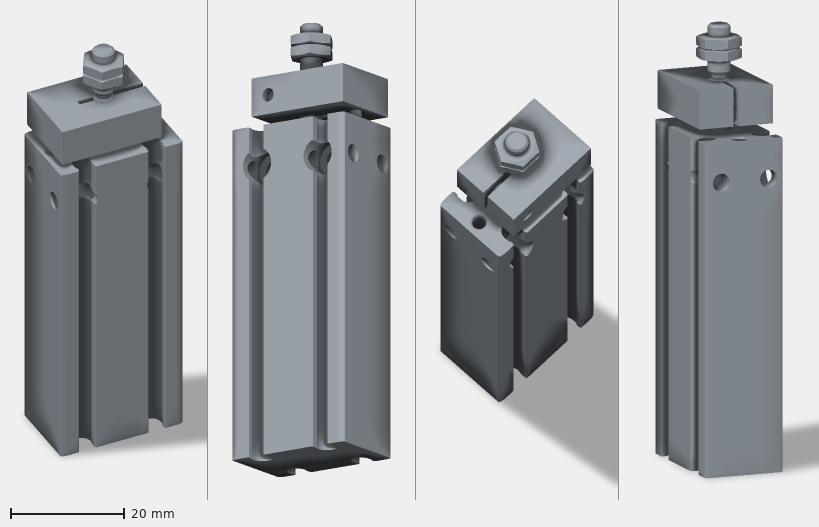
import cadquery as cq
import math


HOUSING_X = 15.0
HOUSING_Y = 24.0
HOUSING_Z = 60.05
CORNER_ARC_LENGTH = 1.2
CORNER_ARC_RADIUS = 3.0
CORNER_CHAMFER = 0.15

SLOT_Y = 6.9
SLOT_DIAMETER = 3.5
SLOT_CENTER_DEPTH = 2.2
SLOT_INNER_EDGE = 1.6
SLOT_LIP_EDGE = 1.5
SLOT_LIP_DEPTH = 1.0
SLOT_MOUTH_CHAMFER = 0.2

MOUNT_HOLE_DIAMETER = 3.2
MOUNT_HOLE_Z = HOUSING_Z - 7.0
MOUNT_HOLE_X = 4.5
MOUNT_HOLE_Y = 6.5
COUNTERBORE_DIAMETER = 6.0
COUNTERBORE_DEPTH = 5.1

GUIDE_Y = 9.55
GUIDE_PIN_DIAMETER = 2.0
GUIDE_DEPTH = 10.0
GUIDE_SEAT_DIAMETER = 3.6
GUIDE_SEAT_FLOOR_DIAMETER = 3.0
SMALL_HOLE_DIAMETER = 2.45
SMALL_HOLE_MOUTH_DIAMETER = 3.0

PLATE_X = 14.0
PLATE_BACK = 8.0
PLATE_FRONT = -11.5
PLATE_THICKNESS = 6.95
PLATE_BOTTOM = HOUSING_Z + 2.0
PLATE_TOP = PLATE_BOTTOM + PLATE_THICKNESS
PLATE_SLOT_WIDTH = 1.0
PLATE_SLOT_END = -4.9

SCREW_DIAMETER = 3.0
SCREW_HOLE_DIAMETER = 2.45
SCREW_TIP_DEPTH = 2.0
SCREW_Y = 4.5
SCREW_Z = PLATE_BOTTOM + PLATE_THICKNESS / 2

ROD_TOP = 79.0
ROD_DIAMETER = 4.0
ROD_DEPTH = 20.0
ROD_BOTTOM = HOUSING_Z - ROD_DEPTH
SHOULDER_DIAMETER = 3.4
SHOULDER_RISE = 0.2
NECK_DIAMETER = 2.7
STUD_BOTTOM = 69.9
STUD_CHAMFER_HEIGHT = 0.4
STUD_TAPER_HEIGHT = (ROD_DIAMETER - NECK_DIAMETER) / 2
STUD_TOP_DIAMETER = 3.2

NUT_COUNT = 2
NUT_WIDTH = 7.0
NUT_THICKNESS = 2.1
NUT_FACE_DIAMETER = 6.0
NUT_BEVEL_HEIGHT = 0.3
NUT_STACK_BOTTOM = 72.7


def cylinder_z(diameter, bottom, top, y=0.0):
    return cq.Workplane("XY", origin=(0, y, bottom)).circle(diameter / 2).extrude(top - bottom)


def cylinder_x(diameter, start, end, y, z):
    return cq.Workplane("YZ", origin=(start, y, z)).circle(diameter / 2).extrude(end - start)


def housing_blank():
    """Bar whose X faces curve in slightly towards chamfered corners."""
    side = HOUSING_X / 2
    end = HOUSING_Y / 2
    flat_end = end - CORNER_ARC_LENGTH - CORNER_CHAMFER
    mid_run = CORNER_ARC_LENGTH / 2

    def arc_x(run):
        return side - CORNER_ARC_RADIUS + math.sqrt(CORNER_ARC_RADIUS ** 2 - run ** 2)

    arc_end_x = arc_x(CORNER_ARC_LENGTH)
    quarter = (
        cq.Workplane("XY")
        .lineTo(side, 0)
        .lineTo(side, flat_end)
        .threePointArc((arc_x(mid_run), flat_end + mid_run), (arc_end_x, end - CORNER_CHAMFER))
        .lineTo(arc_end_x - CORNER_CHAMFER, end)
        .lineTo(0, end)
        .close()
        .extrude(HOUSING_Z)
    )
    half = quarter.union(quarter.mirror("XZ"))
    return half.union(half.mirror("YZ")).clean()


def sensor_slot():
    """Cutter for the slot on the -X, +Y side: chamfered mouth, one overhanging lip, round channel."""
    face = -HOUSING_X / 2
    chamfer_end = face + SLOT_MOUTH_CHAMFER
    lip_end = face + SLOT_LIP_DEPTH
    center = face + SLOT_CENTER_DEPTH
    mouth = (
        cq.Workplane("XY", origin=(0, SLOT_Y, 0))
        .moveTo(face, SLOT_LIP_EDGE + SLOT_MOUTH_CHAMFER)
        .lineTo(chamfer_end, SLOT_LIP_EDGE)
        .lineTo(lip_end, SLOT_LIP_EDGE)
        .lineTo(lip_end, SLOT_DIAMETER / 2)
        .lineTo(center, SLOT_DIAMETER / 2)
        .lineTo(center, -SLOT_INNER_EDGE)
        .lineTo(chamfer_end, -SLOT_INNER_EDGE)
        .lineTo(face, -SLOT_INNER_EDGE - SLOT_MOUTH_CHAMFER)
        .close()
        .extrude(HOUSING_Z)
    )
    channel = cylinder_z(SLOT_DIAMETER, 0, HOUSING_Z).translate((center, SLOT_Y, 0))
    return mouth.union(channel)


def top_countersink(y, mouth_diameter, floor_diameter):
    """Cutter for a 45 degree conical recess in the housing top."""
    mouth_radius = mouth_diameter / 2
    floor_radius = floor_diameter / 2
    depth = mouth_radius - floor_radius
    return (
        cq.Workplane("XZ", origin=(0, y, HOUSING_Z))
        .lineTo(mouth_radius, 0)
        .lineTo(floor_radius, -depth)
        .lineTo(0, -depth)
        .close()
        .revolve(360, (0, 0, 0), (0, 1, 0))
    )


def guide_seat():
    pin_hole = cylinder_z(GUIDE_PIN_DIAMETER, HOUSING_Z - GUIDE_DEPTH, HOUSING_Z, -GUIDE_Y)
    return pin_hole.union(top_countersink(-GUIDE_Y, GUIDE_SEAT_DIAMETER, GUIDE_SEAT_FLOOR_DIAMETER))


def small_hole():
    hole = cylinder_z(SMALL_HOLE_DIAMETER, HOUSING_Z - GUIDE_DEPTH, HOUSING_Z, GUIDE_Y)
    return hole.union(top_countersink(GUIDE_Y, SMALL_HOLE_MOUTH_DIAMETER, SMALL_HOLE_DIAMETER))


def make_housing():
    housing = housing_blank()

    slot = sensor_slot()
    slot_pair = slot.union(slot.mirror("XZ"))
    housing = housing.cut(slot_pair).cut(slot_pair.mirror("YZ"))

    for side in (-1, 1):
        along_y = (
            cq.Workplane("XZ", origin=(side * MOUNT_HOLE_X, 0, MOUNT_HOLE_Z))
            .circle(MOUNT_HOLE_DIAMETER / 2)
            .extrude(HOUSING_Y, both=True)
        )
        y = side * MOUNT_HOLE_Y
        face = HOUSING_X / 2
        along_x = cylinder_x(MOUNT_HOLE_DIAMETER, -face, face, y, MOUNT_HOLE_Z)
        counterbore = cylinder_x(COUNTERBORE_DIAMETER, -face, COUNTERBORE_DEPTH - face, y, MOUNT_HOLE_Z)
        housing = housing.cut(along_y).cut(along_x).cut(counterbore)

    housing = housing.cut(guide_seat()).cut(small_hole())
    return housing.cut(cylinder_z(ROD_DIAMETER, ROD_BOTTOM, HOUSING_Z))


def make_rod():
    """Turned rod: shank with a chamfered shoulder, relief neck and stud with a chamfered tip."""
    rod_radius = ROD_DIAMETER / 2
    neck_radius = NECK_DIAMETER / 2
    shoulder = PLATE_TOP + SHOULDER_RISE
    return (
        cq.Workplane("XZ")
        .moveTo(0, ROD_BOTTOM)
        .lineTo(rod_radius, ROD_BOTTOM)
        .lineTo(rod_radius, PLATE_TOP)
        .lineTo(SHOULDER_DIAMETER / 2, shoulder)
        .lineTo(neck_radius, shoulder)
        .lineTo(neck_radius, STUD_BOTTOM)
        .lineTo(rod_radius, STUD_BOTTOM + STUD_TAPER_HEIGHT)
        .lineTo(rod_radius, ROD_TOP - STUD_CHAMFER_HEIGHT)
        .lineTo(STUD_TOP_DIAMETER / 2, ROD_TOP)
        .lineTo(0, ROD_TOP)
        .close()
        .revolve(360, (0, 0, 0), (0, 1, 0))
    )


def make_screw():
    face = PLATE_X / 2
    return cylinder_x(SCREW_DIAMETER, SCREW_TIP_DEPTH - face, face, SCREW_Y, SCREW_Z)


def make_plate():
    """Slotted plate clamped on the rod, with the guide pin below it."""
    face = PLATE_X / 2
    plate = cq.Workplane("XY").box(
        PLATE_X, PLATE_BACK - PLATE_FRONT, PLATE_THICKNESS, centered=(True, False, False)
    ).translate((0, PLATE_FRONT, PLATE_BOTTOM))
    slot = cq.Workplane("XY").box(
        PLATE_SLOT_WIDTH, PLATE_BACK - PLATE_SLOT_END, PLATE_THICKNESS, centered=(True, False, False)
    ).translate((0, PLATE_SLOT_END, PLATE_BOTTOM))
    rod_hole = cylinder_z(ROD_DIAMETER, PLATE_BOTTOM, PLATE_TOP)
    tip_hole = cylinder_x(SCREW_HOLE_DIAMETER, -face, SCREW_TIP_DEPTH - face, SCREW_Y, SCREW_Z)
    guide_pin = cylinder_z(GUIDE_PIN_DIAMETER, HOUSING_Z - GUIDE_DEPTH, PLATE_BOTTOM, -GUIDE_Y)
    return plate.cut(slot).cut(rod_hole).cut(tip_hole).cut(make_screw()).union(guide_pin)


def make_nut(bottom):
    """Hexagon nut with two corners on the Y axis and a shallow bevel on both ends."""
    corner_radius = NUT_WIDTH / math.sqrt(3)
    face_radius = NUT_FACE_DIAMETER / 2
    hexagon = (
        cq.Workplane("XY")
        .polygon(6, 2 * corner_radius)
        .extrude(NUT_THICKNESS)
        .rotate((0, 0, 0), (0, 0, 1), 90)
    )
    bevel_envelope = (
        cq.Workplane("XZ")
        .lineTo(face_radius, 0)
        .lineTo(corner_radius, NUT_BEVEL_HEIGHT)
        .lineTo(corner_radius, NUT_THICKNESS - NUT_BEVEL_HEIGHT)
        .lineTo(face_radius, NUT_THICKNESS)
        .lineTo(0, NUT_THICKNESS)
        .close()
        .revolve(360, (0, 0, 0), (0, 1, 0))
    )
    bore = cylinder_z(ROD_DIAMETER, 0, NUT_THICKNESS)
    return hexagon.intersect(bevel_envelope).cut(bore).translate((0, 0, bottom))


housing = make_housing()
rod = make_rod()
plate = make_plate()
screw = make_screw()
nuts = [make_nut(NUT_STACK_BOTTOM + index * NUT_THICKNESS) for index in range(NUT_COUNT)]

result = cq.Compound.makeCompound(
    [housing.val(), rod.val(), plate.val(), screw.val(), *[nut.val() for nut in nuts]]
)